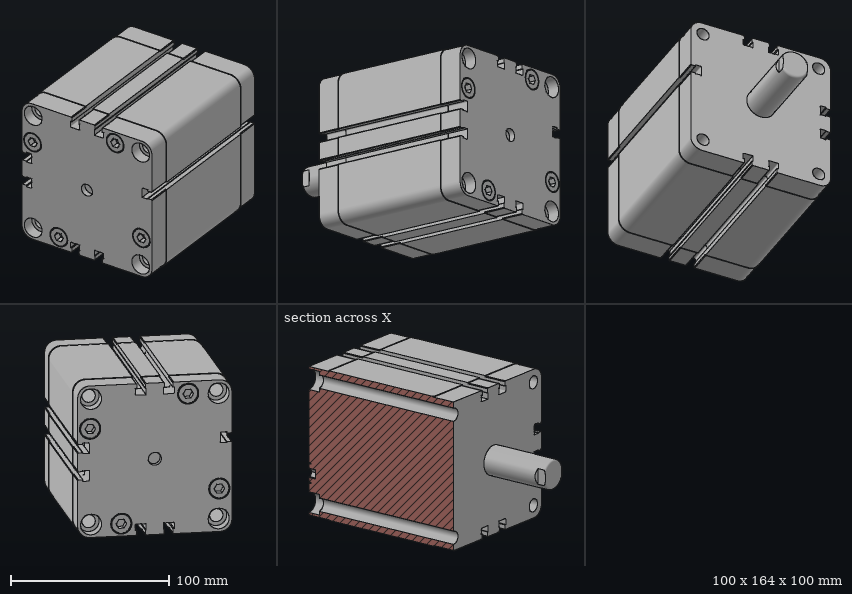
import cadquery as cq
import math

total_length = 164.0
body_length = 116.0
cap_length = 15.9
barrel_side = 100.0
cap_side = 99.2
corner_arc_center = 41.8

slot_neck_width = 5.4
slot_offset = 8.9
side_slot_offset = 11.8
outer_undercut = 1.0
inner_undercut = 0.5
slot_floor_height = 42.3
slot_shoulder_height = 46.2
slot_floor_radius = 0.8
cap_mouth_chamfer = 0.5
barrel_mouth_chamfer = 0.3
cap_slot_clearance = 0.2

mount_hole_offset = 41.0
mount_hole_diameter = 8.5
counterbore_diameter = 13.5
counterbore_depth = 8.4

screw_offset = 41.5
screw_shift = 21.5
screw_recess_diameter = 13.5
screw_head_diameter = 12.5
screw_gap_depth = 1.6
hex_across_flats = 5.7
hex_depth = 5.0

center_hole_diameter = 8.4
center_hole_depth = 4.1

rod_diameter = 20.0
rod_tip_radius = 1.6
flats_width = 17.0
flats_length = 5.7

front_y = 0.0
back_y = front_y + body_length
tip_y = front_y + total_length


def plane_at(y):
    """XZ sketch plane at position y whose extrusions run towards +Y (local x = -X)."""
    return cq.Workplane(cq.Plane(origin=(0, y, 0), xDir=(-1, 0, 0), normal=(0, 1, 0)))


def rounded_block(side, start_y, length):
    block = plane_at(start_y).rect(side, side).extrude(length)
    return block.edges("|Y").fillet(side / 2 - corner_arc_center)


def cylinder(x, z, diameter, start_y, length):
    return plane_at(start_y).center(-x, z).circle(diameter / 2).extrude(length)


def slot_cutter(neck_center, angle, block_side, mouth_chamfer, clearance, start_y, length):
    """T-slot opening on the +Z side, turned about Y so that it opens on another side."""
    side = math.copysign(1, neck_center)
    outer = abs(neck_center) + slot_neck_width / 2
    inner = abs(neck_center) - slot_neck_width / 2
    outer_wall = outer + outer_undercut
    inner_wall = inner - inner_undercut
    floor = slot_floor_height - clearance
    mouth = block_side / 2
    outline = [
        (inner, mouth),
        (inner, slot_shoulder_height),
        (inner_wall, slot_shoulder_height),
        (inner_wall, floor),
        (outer_wall, floor),
        (outer_wall, slot_shoulder_height),
        (outer, slot_shoulder_height),
        (outer, mouth),
    ]
    points = [(-side * across, height) for across, height in outline]
    cutter = plane_at(start_y).polyline(points).close().extrude(length)
    floor_corner = cq.selectors.NearestToPointSelector((side * outer_wall, start_y + length / 2, floor))
    cutter = cutter.edges(floor_corner).fillet(slot_floor_radius)
    if mouth_chamfer > 0:
        flare = [
            (-side * (inner - mouth_chamfer), mouth),
            (-side * inner, mouth - mouth_chamfer),
            (-side * outer, mouth - mouth_chamfer),
            (-side * (outer + mouth_chamfer), mouth),
        ]
        cutter = cutter.union(plane_at(start_y).polyline(flare).close().extrude(length))
    return cutter.rotate((0, 0, 0), (0, 1, 0), angle)


def make_rod():
    radius = rod_diameter / 2
    rod = cylinder(0, 0, rod_diameter, back_y, total_length - body_length)
    rod = rod.faces(">Y").edges().fillet(rod_tip_radius)
    step = radius - flats_width / 2
    shoulder_y = tip_y - flats_length
    flat_outline = [
        (flats_width / 2, tip_y),
        (flats_width / 2, shoulder_y),
        (radius, shoulder_y - step),
        (radius, tip_y),
    ]
    flat = cq.Workplane("XY").polyline(flat_outline).close().extrude(radius, both=True)
    return rod.cut(flat).cut(flat.mirror("YZ"))


def mount_hole(x, z):
    hole = cylinder(x, z, mount_hole_diameter, front_y, body_length)
    return hole.union(cylinder(x, z, counterbore_diameter, front_y, counterbore_depth))


def screw_cutter(x, z):
    """Ring-shaped gap around a screw head, plus its hexagon socket with level flats."""
    gap = cylinder(x, z, screw_recess_diameter, front_y, screw_gap_depth)
    head = cylinder(x, z, screw_head_diameter, front_y, screw_gap_depth)
    hex_across_corners = hex_across_flats / math.cos(math.pi / 6)
    socket = plane_at(front_y).center(-x, z).polygon(6, hex_across_corners).extrude(hex_depth)
    return gap.cut(head).union(socket)


slots = [(-side_slot_offset, 90, 0)]
for center in (-slot_offset, slot_offset):
    slots += [(center, 0, 0), (center, 180, 0), (center, 270, barrel_mouth_chamfer)]

barrel_length = body_length - 2 * cap_length
barrel_y = front_y + cap_length
body = rounded_block(barrel_side, barrel_y, barrel_length)
for center, angle, chamfer in slots:
    body = body.cut(slot_cutter(center, angle, barrel_side, chamfer, 0, barrel_y, barrel_length))

for cap_y in (front_y, back_y - cap_length):
    cap = rounded_block(cap_side, cap_y, cap_length)
    for center, angle, _ in slots:
        cap = cap.cut(
            slot_cutter(center, angle, cap_side, cap_mouth_chamfer, cap_slot_clearance, cap_y, cap_length)
        )
    body = body.union(cap)

for x in (-mount_hole_offset, mount_hole_offset):
    for z in (-mount_hole_offset, mount_hole_offset):
        body = body.cut(mount_hole(x, z))

for x, z in (
    (screw_shift, screw_offset),
    (-screw_offset, screw_shift),
    (-screw_shift, -screw_offset),
    (screw_offset, -screw_shift),
):
    body = body.cut(screw_cutter(x, z))

body = body.cut(cylinder(0, 0, center_hole_diameter, front_y, center_hole_depth))

result = body.union(make_rod())